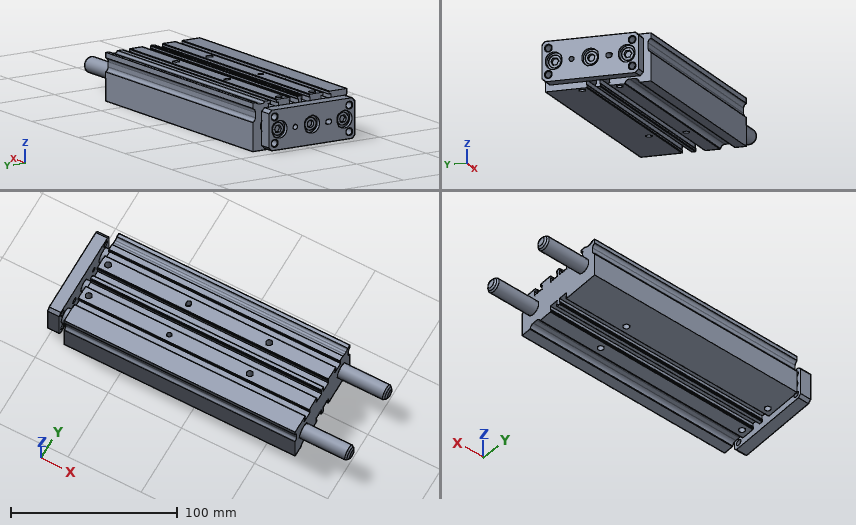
import cadquery as cq
import math


OVERALL_LENGTH = 204.0
PLATE_THICKNESS = 8.0
PLATE_GAP = 5.0
HOUSING_LENGTH = 157.9
HOUSING_START = PLATE_THICKNESS + PLATE_GAP

HOUSING_WIDTH = 68.0
HOUSING_HEIGHT = 30.0
HALF_WIDTH = HOUSING_WIDTH / 2
HALF_HEIGHT = HOUSING_HEIGHT / 2

OUTER_SLOT_Y = 19.0
OUTER_SLOT_MOUTH = 4.3
OUTER_SLOT_INNER = 7.1
INNER_SLOT_Y = 4.3
INNER_SLOT_MOUTH = 5.5
INNER_SLOT_INNER = 6.3
SLOT_LIP = 1.8
SLOT_DEPTH = 4.9
SLOT_CHAMFER = 0.5

SIDE_GROOVE_Z = 7.3
SIDE_GROOVE_MOUTH = 8.8
SIDE_GROOVE_FLOOR = 3.3
SIDE_GROOVE_DEPTH = 1.8
TOP_GROOVE_Y = 28.4
TOP_GROOVE_MOUTH = 6.1
TOP_GROOVE_FLOOR = 1.8
TOP_GROOVE_DEPTH = 1.2
BOTTOM_GROOVE_Y = -21.8
BOTTOM_GROOVE_MOUTH = 9.5
BOTTOM_GROOVE_FLOOR = 3.3
BOTTOM_GROOVE_DEPTH = 2.7
GROOVE_EDGE_BREAK = 0.3

HOLE_ROW_Y = 12.0
MOUNTING_HOLE_X = (17.7, 128.0)
MOUNTING_HOLE_DIAMETER = 4.0
LOCATING_HOLE_X = 72.8
LOCATING_DEPTH = 6.0

LOCATING_DIAMETER = 3.0
LOCATING_SLOT_LENGTH = 4.0

PLATE_WIDTH = 62.0
PLATE_HEIGHT = 25.0
PLATE_CHAMFER = 2.0
PLATE_HOLE_Y = 27.0
PLATE_HOLE_Z = 8.2
PLATE_HOLE_DIAMETER = 4.0
PLATE_HOLE_CHAMFER = 0.5
PLATE_HOLE_CHAMFER_ANGLE = 90
COUNTERBORE_DIAMETER = 10.8
COUNTERBORE_DEPTH = 2.5

GUIDE_Y = 23.5
GUIDE_DIAMETER = 10.0
GUIDE_TAPER_LENGTH = 1.2
GUIDE_TAPER_DIAMETER = 8.4
GUIDE_TIP_LENGTH = 1.0
GUIDE_TIP_DIAMETER = 5.7
PISTON_ROD_DIAMETER = 8.0
PISTON_ROD_END = 157.9
SPIGOT_DIAMETER = 8.0
SPIGOT_RECESS = 1.6
SOCKET_SIDES = 6
SOCKET_FLATS = 4.3
SOCKET_CORNERS = SOCKET_FLATS / math.cos(math.pi / SOCKET_SIDES)
SOCKET_DIAMETER = 4.5
SOCKET_DEPTH = 2.0


def cylinder(x_start, x_end, y, diameter):
    """Solid cylinder along X at Z = 0."""
    return cq.Workplane("YZ", origin=(x_start, y, 0)).circle(diameter / 2).extrude(x_end - x_start)


def slot_cutter(y, mouth, inner, side):
    """T-slot along the housing, open to the top (side = 1) or bottom (side = -1)."""
    half_mouth = mouth / 2
    half_inner = inner / 2
    half_top = half_mouth + SLOT_CHAMFER
    right_half = [
        (half_top, 0),
        (half_mouth, -SLOT_CHAMFER),
        (half_mouth, -SLOT_LIP),
        (half_inner, -SLOT_LIP),
        (half_inner, -SLOT_DEPTH),
    ]
    left_half = [(-across, height) for across, height in reversed(right_half)]
    outline = [(y + across, side * (HALF_HEIGHT + height)) for across, height in right_half + left_half]
    return cq.Workplane("YZ", origin=(HOUSING_START, 0, 0)).polyline(outline).close().extrude(HOUSING_LENGTH)


def groove_cutter(mouth, floor, depth, turn, y, z):
    """Groove along the housing with flanks that curve into its floor.

    It opens towards +Z, is turned about X by `turn` degrees, and its mouth is centred on (y, z).
    """
    half_mouth = mouth / 2
    half_floor = floor / 2
    half_top = half_mouth - GROOVE_EDGE_BREAK
    rise = depth - GROOVE_EDGE_BREAK
    run = half_top - half_floor

    flank_radius = (run**2 + rise**2) / (2 * rise)
    half_angle = math.atan2(rise, run)
    mid_across = half_floor + flank_radius * math.sin(half_angle)
    mid_height = flank_radius * (1 - math.cos(half_angle)) - depth
    return (
        cq.Workplane("YZ")
        .moveTo(-half_floor, -depth)
        .lineTo(half_floor, -depth)
        .threePointArc((mid_across, mid_height), (half_top, -GROOVE_EDGE_BREAK))
        .lineTo(half_mouth, 0)
        .lineTo(-half_mouth, 0)
        .lineTo(-half_top, -GROOVE_EDGE_BREAK)
        .threePointArc((-mid_across, mid_height), (-half_floor, -depth))
        .close()
        .extrude(HOUSING_LENGTH)
        .rotate((0, 0, 0), (1, 0, 0), turn)
        .translate((HOUSING_START, y, z))
    )


def make_housing():
    body = (
        cq.Workplane("YZ", origin=(HOUSING_START, 0, 0))
        .rect(HOUSING_WIDTH, HOUSING_HEIGHT)
        .extrude(HOUSING_LENGTH)
    )

    for hand in (1, -1):
        body = body.cut(slot_cutter(hand * OUTER_SLOT_Y, OUTER_SLOT_MOUTH, OUTER_SLOT_INNER, 1))
        for side in (1, -1):
            body = body.cut(slot_cutter(hand * INNER_SLOT_Y, INNER_SLOT_MOUTH, INNER_SLOT_INNER, side))

    side_groove = (SIDE_GROOVE_MOUTH, SIDE_GROOVE_FLOOR, SIDE_GROOVE_DEPTH)
    top_groove = (TOP_GROOVE_MOUTH, TOP_GROOVE_FLOOR, TOP_GROOVE_DEPTH)
    bottom_groove = (BOTTOM_GROOVE_MOUTH, BOTTOM_GROOVE_FLOOR, BOTTOM_GROOVE_DEPTH)
    body = body.cut(groove_cutter(*side_groove, -90, HALF_WIDTH, SIDE_GROOVE_Z))
    body = body.cut(groove_cutter(*side_groove, 90, -HALF_WIDTH, SIDE_GROOVE_Z))
    body = body.cut(groove_cutter(*top_groove, 0, TOP_GROOVE_Y, HALF_HEIGHT))
    body = body.cut(groove_cutter(*bottom_groove, 180, BOTTOM_GROOVE_Y, -HALF_HEIGHT))

    mounting_points = [(x, hand * HOLE_ROW_Y) for x in MOUNTING_HOLE_X for hand in (1, -1)]
    mounting_holes = (
        cq.Workplane("XY", origin=(0, 0, -HALF_HEIGHT))
        .pushPoints(mounting_points)
        .circle(MOUNTING_HOLE_DIAMETER / 2)
        .extrude(HOUSING_HEIGHT)
    )
    body = body.cut(mounting_holes)

    top = cq.Workplane("XY", origin=(LOCATING_HOLE_X, 0, HALF_HEIGHT))
    locating_hole = top.center(0, -HOLE_ROW_Y).circle(LOCATING_DIAMETER / 2).extrude(-LOCATING_DEPTH)
    locating_slot = (
        top.center(0, HOLE_ROW_Y).slot2D(LOCATING_SLOT_LENGTH, LOCATING_DIAMETER, 90).extrude(-LOCATING_DEPTH)
    )
    body = body.cut(locating_hole).cut(locating_slot)

    housing_end = HOUSING_START + HOUSING_LENGTH
    for hand in (1, -1):
        body = body.cut(cylinder(HOUSING_START, housing_end, hand * GUIDE_Y, GUIDE_DIAMETER))
    return body.cut(cylinder(HOUSING_START, PISTON_ROD_END, 0, PISTON_ROD_DIAMETER))


def make_plate():
    plate = (
        cq.Workplane("YZ")
        .rect(PLATE_WIDTH, PLATE_HEIGHT)
        .extrude(PLATE_THICKNESS)
        .edges("|X")
        .chamfer(PLATE_CHAMFER)
    )

    plate = (
        plate.faces("<X")
        .workplane(origin=(0, 0, 0))
        .rect(2 * PLATE_HOLE_Y, 2 * PLATE_HOLE_Z, forConstruction=True)
        .vertices()
        .cskHole(PLATE_HOLE_DIAMETER, PLATE_HOLE_DIAMETER + 2 * PLATE_HOLE_CHAMFER, PLATE_HOLE_CHAMFER_ANGLE)
    )

    locating_hole = cylinder(0, PLATE_THICKNESS, HOLE_ROW_Y, LOCATING_DIAMETER)
    locating_slot = (
        cq.Workplane("YZ", origin=(0, -HOLE_ROW_Y, 0))
        .slot2D(LOCATING_SLOT_LENGTH, LOCATING_DIAMETER)
        .extrude(PLATE_THICKNESS)
    )
    plate = plate.cut(locating_hole).cut(locating_slot)

    for y in (GUIDE_Y, 0, -GUIDE_Y):
        plate = plate.cut(cylinder(0, COUNTERBORE_DEPTH, y, COUNTERBORE_DIAMETER))
        plate = plate.cut(cylinder(0, PLATE_THICKNESS, y, SPIGOT_DIAMETER))
    return plate


def turned_rod(stations, y):
    """Rod turned about an axis along X; each station is (x, diameter), in order along the rod."""
    first_x = stations[0][0]
    last_x = stations[-1][0]
    outline = [(first_x, 0)] + [(x, diameter / 2) for x, diameter in stations] + [(last_x, 0)]
    return cq.Workplane("XZ", origin=(0, y, 0)).polyline(outline).close().revolve(360, (0, 0, 0), (1, 0, 0))


def make_guide_rod(y):
    tip_start = OVERALL_LENGTH - GUIDE_TIP_LENGTH
    rod = turned_rod(
        [
            (SPIGOT_RECESS, SPIGOT_DIAMETER),
            (PLATE_THICKNESS, SPIGOT_DIAMETER),
            (PLATE_THICKNESS, GUIDE_DIAMETER),
            (tip_start - GUIDE_TAPER_LENGTH, GUIDE_DIAMETER),
            (tip_start, GUIDE_TAPER_DIAMETER),
            (OVERALL_LENGTH, GUIDE_TIP_DIAMETER),
        ],
        y,
    )
    socket = (
        cq.Workplane("YZ", origin=(SPIGOT_RECESS, y, 0))
        .polygon(SOCKET_SIDES, SOCKET_CORNERS)
        .extrude(SOCKET_DEPTH)
    )
    return rod.cut(socket)


def make_piston_rod():
    rod = turned_rod([(SPIGOT_RECESS, PISTON_ROD_DIAMETER), (PISTON_ROD_END, PISTON_ROD_DIAMETER)], 0)
    return rod.cut(cylinder(SPIGOT_RECESS, SPIGOT_RECESS + SOCKET_DEPTH, 0, SOCKET_DIAMETER))


housing = make_housing()
plate = make_plate()
guide_rods = [make_guide_rod(hand * GUIDE_Y) for hand in (1, -1)]
piston_rod = make_piston_rod()

result = cq.Compound.makeCompound(
    [housing.val(), plate.val(), *[rod.val() for rod in guide_rods], piston_rod.val()]
)